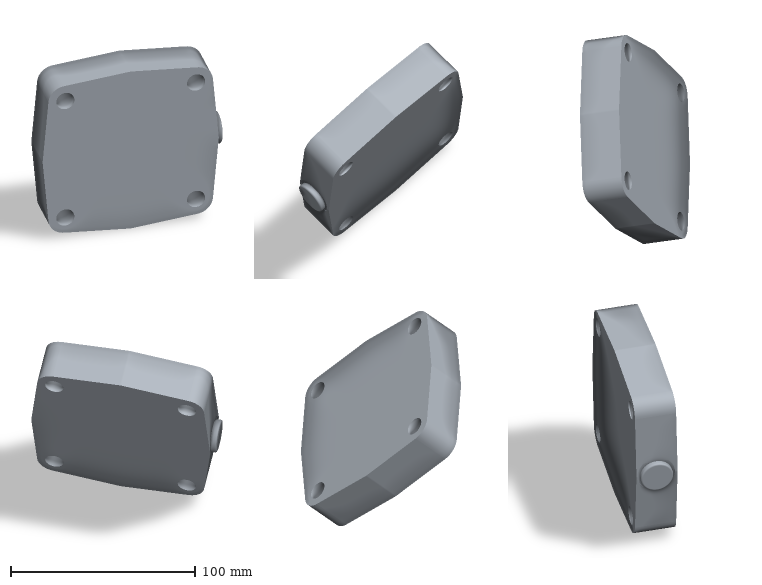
import cadquery as cq
import math

thickness = 23.0
side_count = 4
plate_width = 99.09
side_slope = math.radians(5.0)
ridge_radius = 4.5
corner_radius = 9.55

hole_diameter = 10.2
bolt_circle_diameter = 104.0
hole_count = side_count
first_hole_angle = 45.0

overall_depth = 102.04
plug_offset_x = 0.5
head_diameter = 18.0
head_height = 3.0
head_rim_radius = 0.9
neck_diameter = 16.9
spotface_diameter = 21.0
spotface_depth = 0.7

half_width = plate_width / 2
plug_top = overall_depth - half_width
head_underside = plug_top - head_height
spotface_level = half_width - spotface_depth

sharp_ridge = half_width + ridge_radius * (1 / math.cos(side_slope) - 1)
sharp_corner = sharp_ridge / (1 + math.tan(side_slope))


def quarter_turn(point):
    """Rotate a (y, z) point by 90 degrees about the X axis."""
    y, z = point
    return (-z, y)


def edges_in_box(y_reach, z_reach):
    """Selector for edges centred within the given distances of the X axis."""
    return cq.selectors.BoxSelector((-thickness, -y_reach, -z_reach), (thickness, y_reach, z_reach))


def make_plate():
    """Eight-sided plate centred on the origin, with rounded corners and ridges."""
    ridge = (sharp_ridge, 0.0)
    corner = (sharp_corner, sharp_corner)
    outline = []
    for _ in range(side_count):
        outline += [ridge, corner]
        ridge = quarter_turn(ridge)
        corner = quarter_turn(corner)
    plate = cq.Workplane("YZ").polyline(outline).close().extrude(thickness / 2, both=True)

    along_x = cq.selectors.ParallelDirSelector(cq.Vector(1, 0, 0))
    close_to_y_axis = edges_in_box(plate_width, corner_radius)
    close_to_z_axis = edges_in_box(corner_radius, plate_width)
    ridges = close_to_y_axis + close_to_z_axis
    plate = plate.edges(along_x - ridges).fillet(corner_radius)
    return plate.edges(along_x & ridges).fillet(ridge_radius)


def make_hole_cutters():
    """Four through holes along X, on the diagonals of the plate."""
    return (
        cq.Workplane("YZ")
        .polarArray(bolt_circle_diameter / 2, first_hole_angle, 360, hole_count)
        .circle(hole_diameter / 2)
        .extrude(thickness, both=True)
    )


def plug_axis_cylinder(diameter, y_start, y_end):
    """Cylinder on the plug axis, which runs along Y, between two Y levels."""
    return (
        cq.Workplane("XZ", origin=(plug_offset_x, y_start, 0))
        .circle(diameter / 2)
        .extrude(y_start - y_end)
    )


def make_plug():
    """Head with a rounded outer rim, on a neck rising from the spotface floor."""
    neck = plug_axis_cylinder(neck_diameter, spotface_level, plug_top - head_rim_radius)
    head = plug_axis_cylinder(head_diameter, head_underside, plug_top)
    head = head.faces(">Y").edges().fillet(head_rim_radius)
    return head.union(neck)


spotface_cutter = plug_axis_cylinder(spotface_diameter, spotface_level, plug_top)
result = make_plate().cut(make_hole_cutters()).cut(spotface_cutter).union(make_plug())